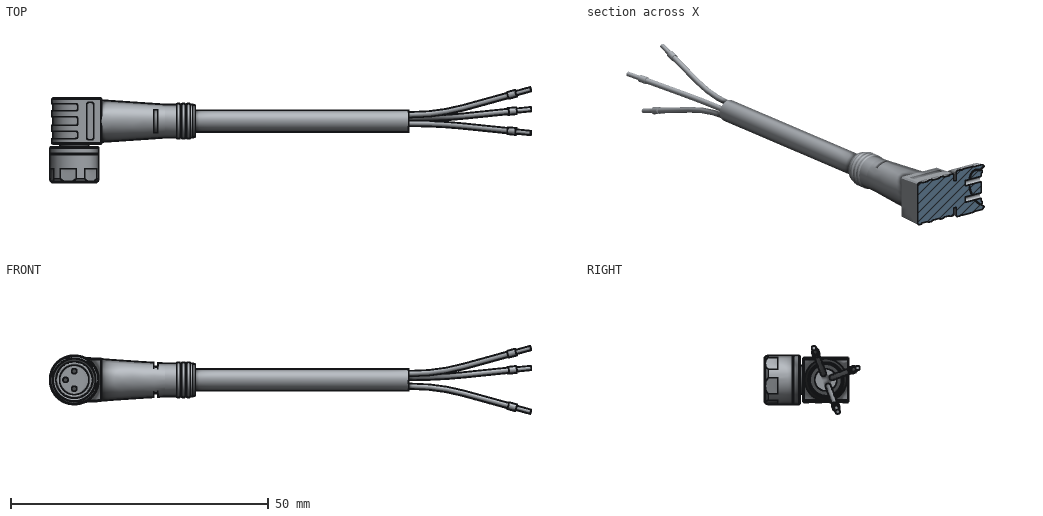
import cadquery as cq
import math


body_radius = 4.4
body_length = 9.0
body_back_y = body_length / 2
body_end_x = 5.38
body_end_half_height = 4.15
body_chamfer = 0.28

grip_depth = 0.2
grip_end_x = 0.65
grip_corner = 0.35
outer_grip_width = 1.4
outer_grip_y = 2.68
middle_grip_width = 1.7

slot_x = 3.1
slot_width = 1.4
slot_length = 7.3
slot_corner = 0.5
slot_depth = 0.2

neck_diameter = 5.65
nut_radius = 9.6 / 2
nut_back_y = -4.95
nut_front_y = -12.0
nut_back_chamfer = 0.3
nut_bevel_start_y = -11.2
nut_bevel_mid_radius = 4.62
nut_bevel_mid_y = -11.65
nut_front_radius = 4.2
nut_groove_y = -6.35
nut_groove_width = 0.28
nut_groove_depth = 0.12
flat_count = 6
flat_first_angle = 15
flat_half_angle = 19.5
flat_length = 2.7

mouth_diameter = 8.2
mouth_depth = 1.0
mouth_floor_diameter = 6.95
rim_diameter = 6.5
rim_depth = 0.4
socket_floor_diameter = 5.72
socket_floor_depth = 0.7
contact_diameter = 1.0
contact_circle_radius = 1.7
contact_depth = 4.0
contact_angles = (90, 180, 270)

sleeve_start_radius = 8.2 / 2
sleeve_end_radius = 6.5 / 2
sleeve_start_x = body_end_x - body_chamfer
sleeve_taper_end_x = 17.6
sleeve_end_x = 23.55
sleeve_chamfer_length = 0.55
sleeve_chamfer_depth = 0.2
ring_start_x = 19.9
ring_pitch = 0.98
ring_width = 0.66
ring_height = 0.22
ring_count = 3
notch_x = 15.85
notch_width = 0.75
notch_half_length = 2.25
notch_floor_radius = 2.7

cable_diameter = 4.3
cable_end_x = 65.0
wire_diameter = 1.1
wire_root_x = cable_end_x - wire_diameter
wire_lay_radius = 1.33
wire_angles = (20.5, 110.5, 290.5)
wire_bend_angle = 16.4
bend_start_x = 65.55
bend_end_x = 75.7
collar_diameter = 1.4
collar_start_x = 84.3
collar_end_x = 85.85
tip_diameter = 0.9
part_end_x = 88.84


def cylinder_along_y(radius, start_y, end_y):
    plane = cq.Workplane("XZ", origin=(0, start_y, 0))
    return plane.circle(radius).extrude(start_y - end_y)


def body_outline(radius, end_half_height):
    """Section of a rounded end with two tangent flanks running to the cable side."""
    distance = math.hypot(body_end_x, end_half_height)
    tangent = math.atan2(end_half_height, body_end_x) + math.acos(radius / distance)
    touch_x = radius * math.cos(tangent)
    touch_z = radius * math.sin(tangent)
    return (
        cq.Workplane("XZ", origin=(0, body_back_y, 0))
        .moveTo(body_end_x, -end_half_height)
        .lineTo(body_end_x, end_half_height)
        .lineTo(touch_x, touch_z)
        .threePointArc((-radius, 0), (touch_x, -touch_z))
        .close()
        .extrude(body_length)
    )


def grip_grooves():
    core = body_outline(body_radius - grip_depth, body_end_half_height - grip_depth)
    grooves = cq.Workplane()
    grips = (
        (-outer_grip_y, outer_grip_width),
        (0, middle_grip_width),
        (outer_grip_y, outer_grip_width),
    )
    for y, width in grips:
        band = (
            cq.Workplane()
            .box(2 * body_radius, width, 3 * body_radius)
            .edges("|Z and >X")
            .fillet(grip_corner)
            .translate((grip_end_x - body_radius, y, 0))
        )
        grooves = grooves.add(band.cut(core).vals())
    return grooves.combine()


def flank_slots():
    """Slots with floors parallel to the sloping flanks."""
    core = body_outline(body_radius - slot_depth, body_end_half_height - slot_depth)
    return (
        cq.Workplane()
        .box(slot_width, slot_length, 3 * body_radius)
        .edges("|Z")
        .fillet(slot_corner)
        .translate((slot_x, 0, 0))
        .cut(core)
    )


def make_body():
    body = body_outline(body_radius, body_end_half_height)
    body = body.faces("<Y or >Y or >X").chamfer(body_chamfer)
    return body.cut(grip_grooves()).cut(flank_slots())


def make_nut():
    groove_back_y = nut_groove_y + nut_groove_width / 2
    groove_front_y = nut_groove_y - nut_groove_width / 2
    groove_radius = nut_radius - nut_groove_depth
    nut = (
        cq.Workplane("XY")
        .moveTo(0, nut_back_y)
        .lineTo(nut_radius - nut_back_chamfer, nut_back_y)
        .lineTo(nut_radius, nut_back_y - nut_back_chamfer)
        .lineTo(nut_radius, groove_back_y)
        .lineTo(groove_radius, groove_back_y)
        .lineTo(groove_radius, groove_front_y)
        .lineTo(nut_radius, groove_front_y)
        .lineTo(nut_radius, nut_bevel_start_y)
        .lineTo(nut_bevel_mid_radius, nut_bevel_mid_y)
        .lineTo(nut_front_radius, nut_front_y)
        .lineTo(0, nut_front_y)
        .close()
        .revolve(360, (0, 0, 0), (0, 1, 0))
    )

    flat_distance = nut_radius * math.cos(math.radians(flat_half_angle))
    for index in range(flat_count):
        angle = flat_first_angle + index * 360 / flat_count
        flat = (
            cq.Workplane()
            .box(nut_radius, flat_length, 2 * nut_radius)
            .translate((-flat_distance - nut_radius / 2, nut_front_y + flat_length / 2, 0))
            .rotate((0, 0, 0), (0, 1, 0), angle)
        )
        nut = nut.cut(flat)
    return nut


def cut_socket(part):
    recess = (
        cq.Workplane("XY")
        .moveTo(0, nut_front_y)
        .lineTo(mouth_diameter / 2, nut_front_y)
        .lineTo(mouth_floor_diameter / 2, nut_front_y + mouth_depth)
        .threePointArc(
            (rim_diameter / 2, nut_front_y + rim_depth),
            (socket_floor_diameter / 2, nut_front_y + socket_floor_depth),
        )
        .lineTo(0, nut_front_y + socket_floor_depth)
        .close()
        .revolve(360, (0, 0, 0), (0, 1, 0))
    )
    part = part.cut(recess)
    floor_y = nut_front_y + socket_floor_depth
    for angle in contact_angles:
        x = contact_circle_radius * math.cos(math.radians(angle))
        z = contact_circle_radius * math.sin(math.radians(angle))
        hole = cylinder_along_y(contact_diameter / 2, floor_y + contact_depth, floor_y)
        part = part.cut(hole.translate((x, 0, z)))
    return part


def make_sleeve():
    profile = (
        cq.Workplane("XY")
        .moveTo(sleeve_start_x, 0)
        .lineTo(sleeve_start_x, sleeve_start_radius)
        .lineTo(sleeve_taper_end_x, sleeve_end_radius)
    )
    for index in range(ring_count):
        start_x = ring_start_x + index * ring_pitch
        profile = profile.lineTo(start_x, sleeve_end_radius).threePointArc(
            (start_x + ring_width / 2, sleeve_end_radius + ring_height),
            (start_x + ring_width, sleeve_end_radius),
        )
    sleeve = (
        profile.lineTo(sleeve_end_x - sleeve_chamfer_length, sleeve_end_radius)
        .lineTo(sleeve_end_x, sleeve_end_radius - sleeve_chamfer_depth)
        .lineTo(sleeve_end_x, 0)
        .close()
        .revolve(360, (0, 0, 0), (1, 0, 0))
    )
    notch_core = (
        cq.Workplane("YZ", origin=(notch_x - notch_width, 0, 0))
        .circle(notch_floor_radius)
        .extrude(2 * notch_width)
    )
    notches = cq.Workplane().box(notch_width, 2 * notch_half_length, 2 * sleeve_start_radius)
    return sleeve.cut(notches.translate((notch_x, 0, 0)).cut(notch_core))


def make_cable():
    return cq.Workplane("YZ").circle(cable_diameter / 2).extrude(cable_end_x)


def make_wire(angle):
    """Wire that leaves the cable straight, bends outwards and ends in a crimped tip."""
    bend = math.radians(wire_bend_angle)
    bend_radius = (bend_end_x - bend_start_x) / math.sin(bend)
    bend_end_y = wire_lay_radius + bend_radius * (1 - math.cos(bend))
    tip_end_x = part_end_x - tip_diameter / 2 * math.sin(bend)
    path = (
        cq.Workplane("XY")
        .moveTo(wire_root_x, wire_lay_radius)
        .lineTo(bend_start_x, wire_lay_radius)
        .tangentArcPoint((bend_end_x, bend_end_y), relative=False)
    )
    wire = (
        cq.Workplane("YZ", origin=(wire_root_x, wire_lay_radius, 0))
        .circle(wire_diameter / 2)
        .sweep(path)
    )
    sections = (
        (wire_diameter, bend_end_x, collar_start_x),
        (collar_diameter, collar_start_x, collar_end_x),
        (tip_diameter, collar_end_x, tip_end_x),
    )
    direction = cq.Vector(math.cos(bend), math.sin(bend), 0)
    for diameter, start_x, end_x in sections:
        start_y = bend_end_y + (start_x - bend_end_x) * math.tan(bend)
        length = (end_x - start_x) / math.cos(bend)
        start = cq.Vector(start_x, start_y, 0)
        section = cq.Solid.makeCylinder(diameter / 2, length, start, direction)
        wire = wire.union(cq.Workplane(section))
    return wire.rotate((0, 0, 0), (1, 0, 0), angle)


neck = cylinder_along_y(neck_diameter / 2, 0, (nut_back_y + nut_front_y) / 2)

result = make_body().union(neck).union(make_nut())
result = cut_socket(result)
result = result.union(make_sleeve()).union(make_cable())
for wire_angle in wire_angles:
    result = result.union(make_wire(wire_angle))